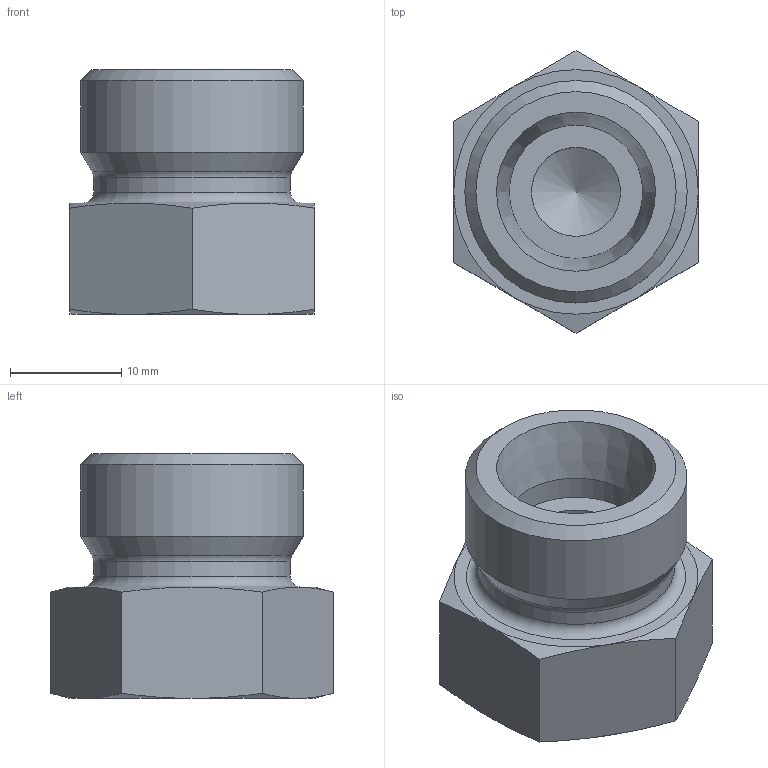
import cadquery as cq
import math

across_flats = 22.0
hex_sides = 6
hex_half_sector = 180.0 / hex_sides
hex_height = 10.0
hex_chamfer_angle = 15.0
chamfer_circle_radius = across_flats / 2

total_height = 22.0
spigot_radius = 20.0 / 2
spigot_chamfer = 1.0

undercut_radius = 17.7 / 2
undercut_width = 2.57
undercut_fillet = 1.0
runout_angle = 30.0

cone_mouth_radius = 14.3 / 2
cone_half_angle = 12.0
socket_radius = 12.0 / 2
socket_depth = 7.5
drill_radius = 8.0 / 2
drill_depth = 16.0
drill_point_angle = 120.0


def tangent(degrees):
    return math.tan(math.radians(degrees))


def revolve_profile(profile):
    """Turn a closed (radius, height) profile around the Z axis."""
    return profile.close().revolve(360, (0, 0, 0), (0, 1, 0))


def make_hexagon():
    corner_radius = across_flats / 2 / math.cos(math.radians(hex_half_sector))
    prism = (
        cq.Workplane("XY")
        .polygon(hex_sides, 2 * corner_radius)
        .extrude(hex_height)
        .rotate((0, 0, 0), (0, 0, 1), hex_half_sector)
    )
    chamfer_drop = (corner_radius - chamfer_circle_radius) * tangent(hex_chamfer_angle)
    envelope = revolve_profile(
        cq.Workplane("XZ")
        .moveTo(0, 0)
        .lineTo(chamfer_circle_radius, 0)
        .lineTo(corner_radius, chamfer_drop)
        .lineTo(corner_radius, hex_height - chamfer_drop)
        .lineTo(chamfer_circle_radius, hex_height)
        .lineTo(0, hex_height)
    )
    return prism.intersect(envelope)


def make_spigot():
    """Chamfered cylinder with a runout cone and a filleted undercut."""
    undercut_top = hex_height + undercut_width
    runout_top = undercut_top + (spigot_radius - undercut_radius) / tangent(runout_angle)

    turn = math.radians(runout_angle)
    fillet_start = undercut_top - undercut_fillet * math.tan(turn / 2)
    fillet_end = (
        undercut_radius + undercut_fillet * (1 - math.cos(turn)),
        fillet_start + undercut_fillet * math.sin(turn),
    )
    fillet_middle = (
        undercut_radius + undercut_fillet * (1 - math.cos(turn / 2)),
        fillet_start + undercut_fillet * math.sin(turn / 2),
    )

    foot_radius = undercut_radius + undercut_fillet
    foot_middle = (
        foot_radius - undercut_fillet * math.cos(math.pi / 4),
        hex_height + undercut_fillet * (1 - math.sin(math.pi / 4)),
    )

    return revolve_profile(
        cq.Workplane("XZ")
        .moveTo(0, hex_height)
        .lineTo(foot_radius, hex_height)
        .threePointArc(foot_middle, (undercut_radius, hex_height + undercut_fillet))
        .lineTo(undercut_radius, fillet_start)
        .threePointArc(fillet_middle, fillet_end)
        .lineTo(spigot_radius, runout_top)
        .lineTo(spigot_radius, total_height - spigot_chamfer)
        .lineTo(spigot_radius - spigot_chamfer, total_height)
        .lineTo(0, total_height)
    )


def make_bore():
    """Sealing cone, tube socket and drilled hole with its conical point."""
    cone_depth = (cone_mouth_radius - socket_radius) / tangent(cone_half_angle)
    point_length = drill_radius / tangent(drill_point_angle / 2)
    drill_end = total_height - drill_depth
    return revolve_profile(
        cq.Workplane("XZ")
        .moveTo(0, total_height)
        .lineTo(cone_mouth_radius, total_height)
        .lineTo(socket_radius, total_height - cone_depth)
        .lineTo(socket_radius, total_height - socket_depth)
        .lineTo(drill_radius, total_height - socket_depth)
        .lineTo(drill_radius, drill_end)
        .lineTo(0, drill_end - point_length)
    )


result = make_hexagon().union(make_spigot()).cut(make_bore())